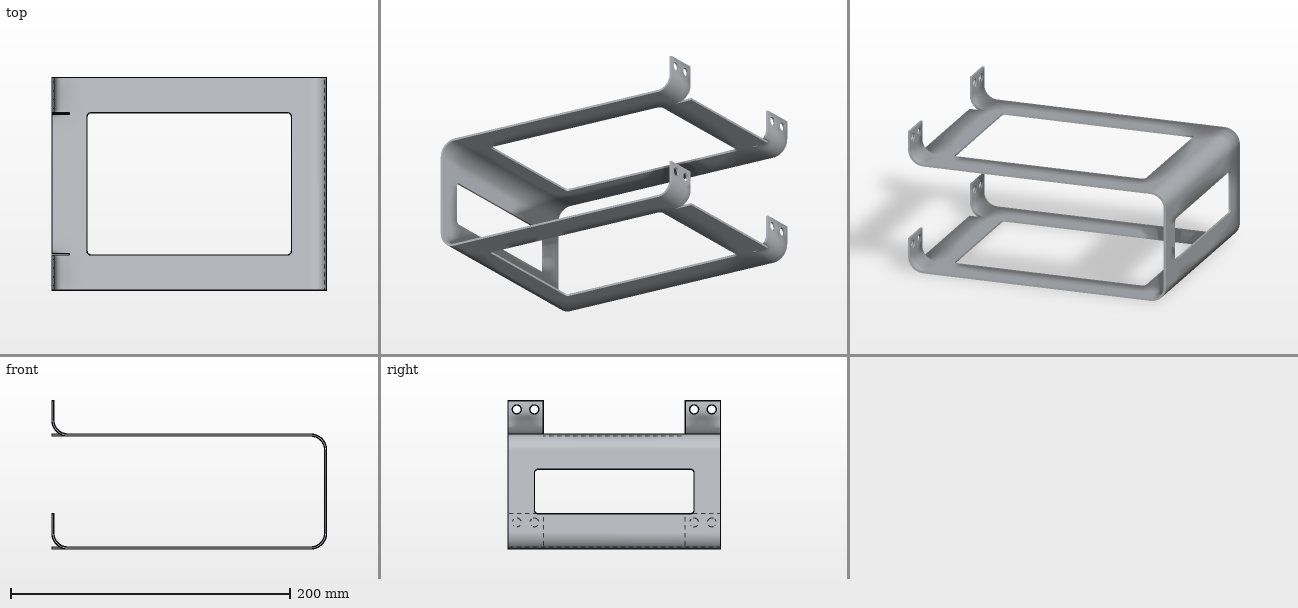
import cadquery as cq

length = 196.8
width = 152.4
height = 106.3

sheet = 1.5
bend_radius = 11.6
inner_bend_radius = bend_radius - sheet

tab_width = 25.4
tab_height = 25.4
relief_gap = 0.8
relief_length = bend_radius + relief_gap

hole_diameter = 6.3
hole_edge_distance = 6.3
hole_spacing = 12.5

border = tab_width
back_side_border = 19.0
window_corner_radius = 2.5

lower_shelf_z = 0.0
upper_shelf_z = height - tab_height
shelf_levels = (lower_shelf_z, upper_shelf_z)
back_height = upper_shelf_z + sheet


def make_folded_sheet():
    """Two shelves joined by an upright back, with rounded bends at +X."""
    outer = (
        cq.Workplane("XY")
        .box(length, width, back_height, centered=(False, True, False))
        .edges("|Y and >X")
        .fillet(bend_radius)
    )
    inner = (
        cq.Workplane("XY")
        .box(length - sheet, width, back_height - 2 * sheet, centered=(False, True, False))
        .edges("|Y and >X")
        .fillet(inner_bend_radius)
        .translate((0, 0, sheet))
    )
    return outer.cut(inner)


def make_corner_notch(side, shelf_z):
    """Volume of shelf removed at one corner to make room for a tab and its relief slit."""
    notch_width = tab_width + relief_gap
    center_y = side * (width - notch_width) / 2
    tab_space = (
        cq.Workplane("XY")
        .box(bend_radius, notch_width, sheet, centered=(False, True, False))
        .translate((0, center_y, shelf_z))
    )
    slit_y = side * (width / 2 - tab_width - relief_gap / 2)
    slit = (
        cq.Workplane("XY")
        .box(relief_length, relief_gap, sheet, centered=(False, True, False))
        .translate((0, slit_y, shelf_z))
    )
    return tab_space.union(slit)


def make_tab(side, shelf_z):
    """Upturned tab with a rounded bend, flush with the outer Y edge, with two holes."""
    center_y = side * (width - tab_width) / 2
    tab = (
        cq.Workplane("XZ", origin=(0, center_y, shelf_z))
        .moveTo(bend_radius, 0)
        .radiusArc((0, bend_radius), bend_radius)
        .lineTo(0, tab_height)
        .lineTo(sheet, tab_height)
        .lineTo(sheet, bend_radius)
        .radiusArc((bend_radius, sheet), -inner_bend_radius)
        .close()
        .extrude(tab_width / 2, both=True)
    )
    hole_z = shelf_z + tab_height - hole_edge_distance
    holes = (
        cq.Workplane("YZ", origin=(0, center_y, hole_z))
        .rarray(hole_spacing, 2, 2, 1)
        .circle(hole_diameter / 2)
        .extrude(sheet)
    )
    return tab.cut(holes)


def make_shelf_window():
    """Rounded opening through both shelves."""
    return (
        cq.Workplane("XY")
        .box(length - 2 * border, width - 2 * border, back_height, centered=(False, True, False))
        .edges("|Z")
        .fillet(window_corner_radius)
        .translate((border, 0, 0))
    )


def make_back_window():
    """Rounded opening through the upright back."""
    window_width = width - 2 * back_side_border
    window_height = back_height - 2 * border
    return (
        cq.Workplane("XY")
        .box(sheet, window_width, window_height, centered=(False, True, False))
        .edges("|X")
        .fillet(window_corner_radius)
        .translate((length - sheet, 0, border))
    )


result = make_folded_sheet().cut(make_shelf_window()).cut(make_back_window())
for shelf_z in shelf_levels:
    for side in (-1, 1):
        result = result.cut(make_corner_notch(side, shelf_z))
        result = result.union(make_tab(side, shelf_z))